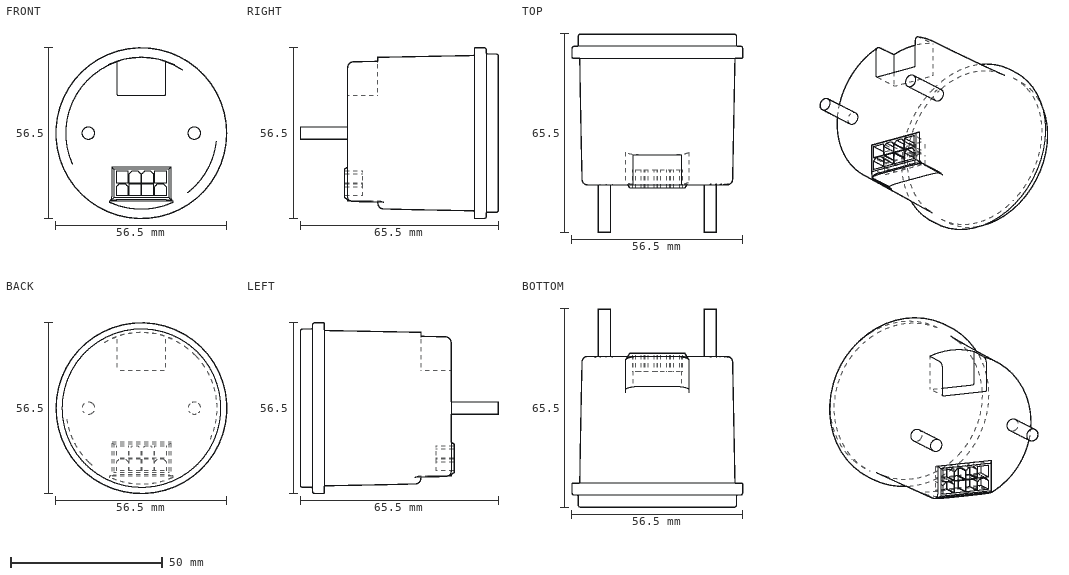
import cadquery as cq
import math


rear_radius = 24.9
draft_angle = 1.1
rear_edge_fillet = 2.0
barrel_root_fillet = 0.2
flange_start = 41.9
flange_end = 45.9
flange_radius = 28.25
flange_rear_fillet = 0.35
flange_front_fillet = 0.8
bezel_end = 49.9
bezel_radius = 26.2
bezel_edge_fillet = 0.8
bezel_root_fillet = 0.3

recess_depth = 10.0
pocket_width = 16.0
pocket_floor_z = 12.4
pocket_corner_fillet = 0.5
notch_width = 21.0

stud_diameter = 4.1
stud_length = 15.6
stud_spacing = 35.0

connector_height = 1.0
connector_rim_width = 18.2
connector_rim_top_z = -11.9
connector_rim_bottom_z = -21.3
connector_taper_angle = 33.0
connector_taper_offset = 1.1
connector_base_width = connector_rim_width + 2 * connector_taper_offset
connector_base_top_z = connector_rim_top_z + connector_taper_offset
connector_base_bottom_z = connector_rim_bottom_z - connector_taper_offset
cell_pitch = 4.2
cell_size = 3.95
cell_corner_chamfer = 1.0
cell_depth = 6.0
cell_center_z = -16.6
cell_columns = 4
cell_rows = 2


def draft_radius(y):
    return rear_radius + y * math.tan(math.radians(draft_angle))


def box_between(x_range, y_range, z_range):
    return cq.Workplane("XY").box(
        x_range[1] - x_range[0],
        y_range[1] - y_range[0],
        z_range[1] - z_range[0],
        centered=False,
    ).translate((x_range[0], y_range[0], z_range[0]))


def revolve_about_y(profile):
    return profile.close().revolve(360, (0, 0, 0), (0, 1, 0))


def drafted_barrel(start_y):
    """Tapered barrel from start_y to the flange, with a rounded rear edge."""
    barrel = revolve_about_y(
        cq.Workplane("XY")
        .moveTo(0, start_y)
        .lineTo(draft_radius(start_y), start_y)
        .lineTo(draft_radius(flange_start), flange_start)
        .lineTo(0, flange_start)
    )
    return barrel.faces("<Y").edges().fillet(rear_edge_fillet)


def disc(radius, start_y, end_y):
    return revolve_about_y(
        cq.Workplane("XY")
        .moveTo(0, start_y)
        .lineTo(radius, start_y)
        .lineTo(radius, end_y)
        .lineTo(0, end_y)
    )


def flange_and_bezel():
    flange = disc(flange_radius, flange_start, flange_end)
    flange = flange.faces("<Y").edges().fillet(flange_rear_fillet)
    flange = flange.faces(">Y").edges().fillet(flange_front_fillet)
    bezel = disc(bezel_radius, flange_start, bezel_end)
    bezel = bezel.faces(">Y").edges().fillet(bezel_edge_fillet)
    return flange.union(bezel)


def edges_in_slice(start_y, end_y, radius):
    """Selector for edges within a slice along Y that stay inside a given radius."""
    return cq.selectors.BoxSelector(
        (-radius, start_y, -radius), (radius, end_y, radius), boundingbox=True
    )


def turned_housing():
    """Barrel, flange and bezel in one, with small fillets where they meet the flange."""
    body = drafted_barrel(0).union(flange_and_bezel())
    slice_half = 0.1
    root_limit = (flange_radius + bezel_radius) / 2
    bezel_root = edges_in_slice(flange_end - slice_half, flange_end + slice_half, root_limit)
    barrel_root = edges_in_slice(flange_start - slice_half, flange_start + slice_half, root_limit)
    return body.edges(bezel_root).fillet(bezel_root_fillet).edges(barrel_root).fillet(barrel_root_fillet)


def pocket_cutter():
    """Open pocket at the top of the rear plate, with rounded floor corners."""
    half_width = pocket_width / 2
    cutter = box_between(
        (-half_width, half_width), (0, recess_depth), (pocket_floor_z, flange_radius)
    )
    return cutter.faces("<Z").edges("|Y").fillet(pocket_corner_fillet)


def notch_cutter():
    """Notch under the connector; its end follows the rounded edge of a shorter barrel."""
    half_width = notch_width / 2
    cutter = box_between(
        (-half_width, half_width),
        (0, recess_depth + rear_edge_fillet),
        (-flange_radius, connector_base_bottom_z),
    )
    return cutter.cut(drafted_barrel(recess_depth))


def studs():
    return (
        cq.Workplane("XZ")
        .pushPoints([(-stud_spacing / 2, 0), (stud_spacing / 2, 0)])
        .circle(stud_diameter / 2)
        .extrude(stud_length)
    )


def connector_block():
    """Connector body: a block let into the housing, its outer end tapering to the rim."""
    half_width = connector_base_width / 2
    taper_length = connector_taper_offset / math.tan(math.radians(connector_taper_angle))
    taper_start_y = taper_length - connector_height
    block = box_between(
        (-half_width, half_width),
        (taper_start_y, recess_depth),
        (connector_base_bottom_z, connector_base_top_z),
    )
    tapered_end = (
        cq.Workplane("XZ", origin=(0, taper_start_y, 0))
        .center(0, (connector_base_top_z + connector_base_bottom_z) / 2)
        .rect(connector_base_width, connector_base_top_z - connector_base_bottom_z)
        .extrude(taper_length, taper=connector_taper_angle)
    )
    return block.union(tapered_end)


def connector_cells():
    """Grid of contact cells; alternate pairs have their upper corners cut off."""
    cells = cq.Workplane("XY")
    for column in range(cell_columns):
        for row in range(cell_rows):
            x = (column - (cell_columns - 1) / 2) * cell_pitch
            z = cell_center_z + ((cell_rows - 1) / 2 - row) * cell_pitch
            cell = box_between(
                (x - cell_size / 2, x + cell_size / 2),
                (-connector_height, cell_depth - connector_height),
                (z - cell_size / 2, z + cell_size / 2),
            )
            is_inner_column = 0 < column < cell_columns - 1
            is_top_row = row == 0
            if is_inner_column == is_top_row:
                cell = cell.faces(">Z").edges("|Y").chamfer(cell_corner_chamfer)
            cells = cells.add(cell)
    return cells.combine()


housing = turned_housing().cut(pocket_cutter()).cut(notch_cutter())
result = housing.union(connector_block()).cut(connector_cells()).union(studs())